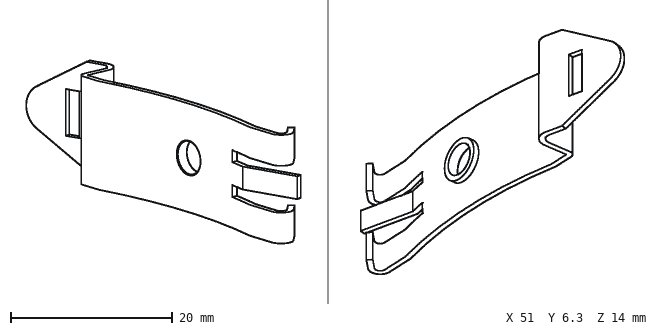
import cadquery as cq
import math

thickness = 0.8
width = 14.0
length = 51.05
height = 6.3

tab_angle = 15.0
tab_taper_angle = 30.0
tab_tip_radius = 3.15
window_offset = 5.9
window_length = 2.0
window_width = 6.0
top_bend_x = 11.6
top_bend_inner = 1.15
foot_bend_inner = 0.1

bow_start_x = 16.65
bow_end_x = 45.0
bow_rise = 1.55

hook_bend_x = 49.1
hook_inner = 0.7
hook_angle = 135.0
hook_arm = 2.1
tongue_width = 2.95
tongue_bend_x = 43.15
tongue_angle = 15.0
slot_start_x = 40.7
slot_outer_width = 6.0

hole_x = 31.75
hole_diameter = 4.25
mouth_chamfer = 0.1
collar_diameter = 5.7
collar_top_y = 3.1

top_bend_outer = top_bend_inner + thickness
foot_bend_outer = foot_bend_inner + thickness
hook_outer = hook_inner + thickness
top_bend_centre = (top_bend_x, height - top_bend_outer)
foot_bend_centre = (top_bend_x + top_bend_inner + foot_bend_outer, foot_bend_outer)
hook_centre = (hook_bend_x, hook_outer)
bow_half = (bow_end_x - bow_start_x) / 2
bow_radius = (bow_half**2 + bow_rise**2) / (2 * bow_rise)
bow_centre = (bow_start_x + bow_half, bow_rise - bow_radius)
tab_cos = math.cos(math.radians(tab_angle))
tab_sin = math.sin(math.radians(tab_angle))
tab_length = (top_bend_x - top_bend_outer * tab_sin) / tab_cos


def polar(centre, radius, angle):
    """Point at the given angle in degrees around a centre."""
    a = math.radians(angle)
    return (centre[0] + radius * math.cos(a), centre[1] + radius * math.sin(a))


def bow_point(x, offset=0.0):
    """Point of the bow's lower face, or of the arc concentric with it at an offset."""
    rise = math.sqrt((bow_radius + offset) ** 2 - (x - bow_centre[0]) ** 2)
    return (x, bow_centre[1] + rise)


def bow_meets_flat(side):
    """Point where the bow's upper face meets the flat on one side."""
    reach = math.sqrt((bow_radius + thickness) ** 2 - (thickness - bow_centre[1]) ** 2)
    return (bow_centre[0] + side * reach, thickness)


def extrude_across(profile, across):
    """Extrude an XY profile symmetrically along Z."""
    return profile.close().extrude(across / 2, both=True)


def make_strip():
    """Bent strip from the top bend to the hooks."""
    tab_normal = 90 + tab_angle
    hook_end = hook_angle - 90
    hook_mid = (hook_end - 90) / 2
    hook_outer_end = polar(hook_centre, hook_outer, hook_end)
    hook_inner_end = polar(hook_centre, hook_inner, hook_end)
    profile = (
        cq.Workplane("XY")
        .moveTo(*polar(top_bend_centre, top_bend_inner, tab_normal))
        .threePointArc(
            polar(top_bend_centre, top_bend_inner, tab_normal / 2),
            polar(top_bend_centre, top_bend_inner, 0),
        )
        .lineTo(*polar(foot_bend_centre, foot_bend_outer, 180))
        .threePointArc(
            polar(foot_bend_centre, foot_bend_outer, 225),
            polar(foot_bend_centre, foot_bend_outer, 270),
        )
        .lineTo(bow_start_x, 0)
        .threePointArc(bow_point(bow_centre[0]), (bow_end_x, 0))
        .lineTo(hook_bend_x, 0)
        .threePointArc(polar(hook_centre, hook_outer, hook_mid), hook_outer_end)
        .lineTo(*polar(hook_outer_end, hook_arm, hook_angle))
        .lineTo(*polar(hook_inner_end, hook_arm, hook_angle))
        .lineTo(*hook_inner_end)
        .threePointArc(polar(hook_centre, hook_inner, hook_mid), (hook_bend_x, thickness))
        .lineTo(*bow_meets_flat(1))
        .threePointArc(bow_point(bow_centre[0], thickness), bow_meets_flat(-1))
        .lineTo(*polar(foot_bend_centre, foot_bend_inner, 270))
        .threePointArc(
            polar(foot_bend_centre, foot_bend_inner, 225),
            polar(foot_bend_centre, foot_bend_inner, 180),
        )
        .lineTo(*polar(top_bend_centre, top_bend_outer, 0))
        .threePointArc(
            polar(top_bend_centre, top_bend_outer, tab_normal / 2),
            polar(top_bend_centre, top_bend_outer, tab_normal),
        )
    )
    return extrude_across(profile, width)


def make_tab():
    """Tapered tab with a rounded tip and a rectangular window."""
    taper = math.radians(tab_taper_angle)
    half = width / 2
    root_x, root_y = polar(top_bend_centre, top_bend_inner, 90 + tab_angle)
    plane = cq.Plane(
        origin=(root_x - tab_length * tab_cos, root_y - tab_length * tab_sin, 0),
        xDir=(tab_cos, tab_sin, 0),
        normal=(-tab_sin, tab_cos, 0),
    )
    tangent_x = tab_tip_radius * (1 - math.sin(taper))
    tangent_y = tab_tip_radius * math.cos(taper)
    shoulder_x = tangent_x + (half - tangent_y) / math.tan(taper)
    plate = (
        cq.Workplane(plane)
        .moveTo(tangent_x, -tangent_y)
        .lineTo(shoulder_x, -half)
        .lineTo(tab_length, -half)
        .lineTo(tab_length, half)
        .lineTo(shoulder_x, half)
        .lineTo(tangent_x, tangent_y)
        .threePointArc((0, 0), (tangent_x, -tangent_y))
        .close()
        .extrude(thickness)
    )
    window = (
        cq.Workplane(plane)
        .center(window_offset + window_length / 2, 0)
        .rect(window_length, window_width)
        .extrude(thickness)
    )
    return plate.cut(window)


def make_hook_gap():
    """Opening that separates the two hooks."""
    gap_length = length - slot_start_x
    return (
        cq.Workplane("XY", origin=(slot_start_x, 0, 0))
        .box(gap_length, height, slot_outer_width, centered=(False, False, True))
    )


def make_tongue():
    """Tongue that follows the bow and then bends upwards."""
    bend = bow_point(tongue_bend_x)
    reach = (length - tongue_bend_x) / math.cos(math.radians(tongue_angle))
    tip_low = polar(bend, reach, tongue_angle)
    tip_high = polar(tip_low, thickness, 90 + tongue_angle)
    bow_slope = -math.degrees(math.asin((tongue_bend_x - bow_centre[0]) / bow_radius))
    half_bend = (tongue_angle - bow_slope) / 2
    miter = thickness / math.cos(math.radians(half_bend))
    upper_bend_x = polar(bend, miter, 90 + bow_slope + half_bend)[0]
    upper_bend = bow_point(upper_bend_x, thickness)
    middle_x = (slot_start_x + tongue_bend_x) / 2
    profile = (
        cq.Workplane("XY")
        .moveTo(*bow_point(slot_start_x))
        .threePointArc(bow_point(middle_x), bend)
        .lineTo(*tip_low)
        .lineTo(*tip_high)
        .lineTo(*upper_bend)
        .threePointArc(bow_point(middle_x, thickness), bow_point(slot_start_x, thickness))
    )
    return extrude_across(profile, tongue_width)


def make_post(diameter, base_y, top_y):
    """Cylinder along Y on the hole axis."""
    return (
        cq.Workplane("XZ", origin=(hole_x, base_y, 0))
        .circle(diameter / 2)
        .extrude(base_y - top_y)
    )


def make_mouth_cone():
    """Cone that chamfers the hole where it opens on the lower face."""
    flare = 2 * mouth_chamfer
    return (
        cq.Workplane("XZ", origin=(hole_x, bow_rise - mouth_chamfer, 0))
        .circle(hole_diameter / 2 + flare)
        .workplane(offset=-flare)
        .circle(hole_diameter / 2)
        .loft()
    )


collar_base_y = bow_rise + thickness / 2
collar = make_post(collar_diameter, collar_base_y, collar_top_y)
hole = make_post(hole_diameter, 0, collar_top_y)

strip = make_strip().cut(make_hook_gap())
clip = strip.union(make_tongue()).union(make_tab()).union(collar)
result = clip.cut(hole).cut(make_mouth_cone())